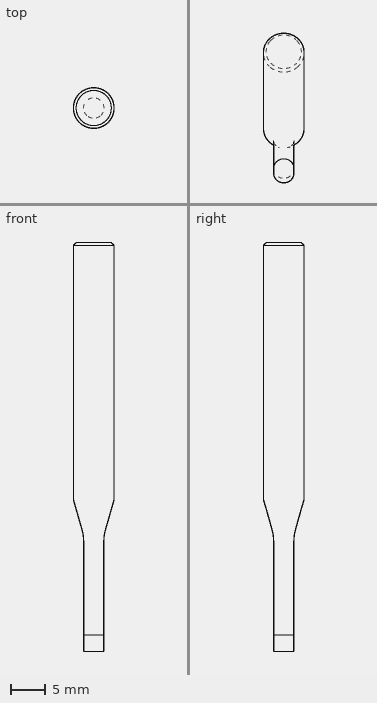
import cadquery as cq
import math

TOTAL_LENGTH = 60.0
TIP_LENGTH = 2.45
NECK_END = 16.2

SHANK_RADIUS = 3.0
NECK_RADIUS = 1.5

SHANK_CHAMFER = 0.4
TIP_CORNER_RADIUS = 0.2
FLARE_RADIUS = 6.0
CONE_HALF_ANGLE = 16.0


def flare_point(angle_degrees):
    """Point on the concave flare after it has turned by the given angle from the axis."""
    angle = math.radians(angle_degrees)
    radius = NECK_RADIUS + FLARE_RADIUS * (1 - math.cos(angle))
    height = NECK_END + FLARE_RADIUS * math.sin(angle)
    return (radius, height)


def make_tip():
    """Short cutting head with a rounded lower edge."""
    cylinder = cq.Workplane("XY").circle(NECK_RADIUS).extrude(TIP_LENGTH)
    return cylinder.faces("<Z").edges().fillet(TIP_CORNER_RADIUS)


def make_shank():
    """Neck, flare, cone and chamfered shank, revolved about Z as one solid."""
    flare_middle = flare_point(CONE_HALF_ANGLE / 2)
    flare_end = flare_point(CONE_HALF_ANGLE)
    cone_length = (SHANK_RADIUS - flare_end[0]) / math.tan(math.radians(CONE_HALF_ANGLE))
    cone_end = flare_end[1] + cone_length
    profile = (
        cq.Workplane("XZ")
        .moveTo(0, TIP_LENGTH)
        .lineTo(NECK_RADIUS, TIP_LENGTH)
        .lineTo(NECK_RADIUS, NECK_END)
        .threePointArc(flare_middle, flare_end)
        .lineTo(SHANK_RADIUS, cone_end)
        .lineTo(SHANK_RADIUS, TOTAL_LENGTH - SHANK_CHAMFER)
        .lineTo(SHANK_RADIUS - SHANK_CHAMFER, TOTAL_LENGTH)
        .lineTo(0, TOTAL_LENGTH)
        .close()
    )
    return profile.revolve(360, (0, 0, 0), (0, 1, 0))


tip = make_tip()
shank = make_shank()

result = cq.Compound.makeCompound([tip.val(), shank.val()])